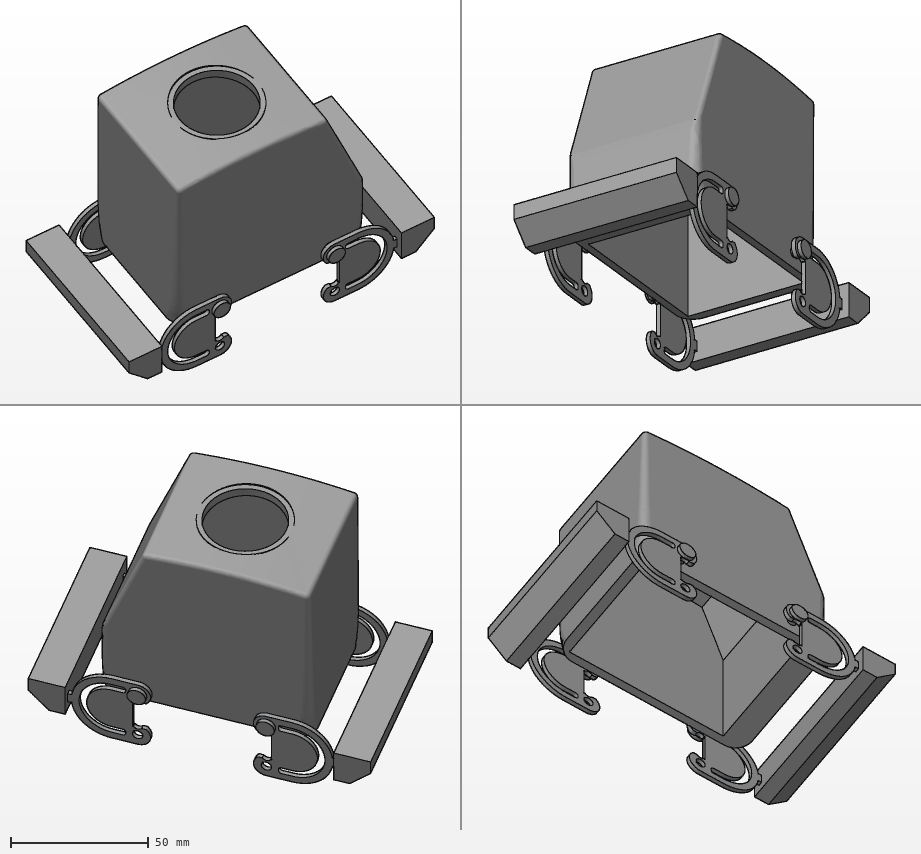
import cadquery as cq
import math

HOOD_WIDTH = 56.2
HOOD_HEIGHT = 77.0
BASE_LENGTH = 81.9
FRONT_DRAFT = 0.9
BACK_DRAFT = 1.0
WALL = 3.2
ROOF = 4.1
CAVITY_BACK_Y = 30.9
CAVITY_KNEE_Z = 46.0
RIM_ZONE_Z = 73.7
SLOPE_START_Z = 31.6
SLOPE_END_Y = 24.2
CROWN_RADIUS = 263.2
EDGE_RADIUS = 1.7
BEVEL_REACH = 1.6
CORNER_RADII = [(0, 7.4), (0.14, 4.1), (0.4, 2.9), (1, 1.8)]

ENTRY_Y = -5.8
ENTRY_RADIUS = 15.8
SPOTFACE_RADIUS = 17.9
SPOTFACE_DEPTH = 0.59

PIVOT_Y = 24.7
LEVER_MID_Z = -4.3
LEVER_RADIUS = 15.5
LEVER_CENTER_Y = 34.7
LEVER_THICKNESS = 1.7
LEVER_INNER_X = 30.4
THROAT_Y = 26.7
HOOK_RADIUS = 5.0
HOOK_TIP_RISE = 3.8
HOOK_TIP_RADIUS = 0.7
HOLE_RADIUS = 2.0
SLOT_OUTER_RADIUS = 12.5
SLOT_INNER_RADIUS = 9.6
SLOT_END_Y = 29.3
SLOT_END_RADIUS = 1.2

STEM_RADIUS = 1.8
HEAD_RADIUS = 3.5
HEAD_THICKNESS = 1.6

GRIP_WIDTH = 70.0
OVERALL_LENGTH = 131.6
GRIP_DEPTH = 14.2
GRIP_TOP_Z = 3.8
GRIP_HEIGHT = 14.1
GRIP_CHAMFER = 8.0
LUG_HEIGHT = 4.2

OVERSIZE = 263.2


def wall_back_y(z):
    """Y of the drafted +Y face at a given height."""
    return BASE_LENGTH / 2 - BACK_DRAFT * z / HOOD_HEIGHT


def rounded_section(z, radius):
    """Horizontal section of the drafted block at height z."""
    share = z / HOOD_HEIGHT
    front = -BASE_LENGTH / 2 + FRONT_DRAFT * share
    back = wall_back_y(z)
    sketch = cq.Sketch().rect(HOOD_WIDTH, back - front).vertices().fillet(radius)
    return sketch.moved(cq.Location(cq.Vector(0, (front + back) / 2, z)))


def drafted_block():
    """Leaning block whose vertical corners get rounder towards the bottom."""
    sections = [rounded_section(share * HOOD_HEIGHT, radius) for share, radius in CORNER_RADII]
    return cq.Workplane("XY").placeSketch(*sections).loft()


def crown_z(y):
    """Height of the arched top at a given Y."""
    drop = CROWN_RADIUS - math.sqrt(CROWN_RADIUS ** 2 - (y - ENTRY_Y) ** 2)
    return HOOD_HEIGHT - drop


def roof_prism():
    """Everything under the arched top and the slope, with a small bevel at the foot of the slope."""
    far = BASE_LENGTH
    bend_y = wall_back_y(SLOPE_START_Z)
    ridge_z = crown_z(SLOPE_END_Y)
    slope_lean = math.atan((bend_y - SLOPE_END_Y) / (ridge_z - SLOPE_START_Z))
    bevel_bottom_z = SLOPE_START_Z - BEVEL_REACH
    bevel_top_y = bend_y - BEVEL_REACH * math.sin(slope_lean)
    bevel_top_z = SLOPE_START_Z + BEVEL_REACH * math.cos(slope_lean)
    return (
        cq.Workplane("YZ")
        .moveTo(-far, 0)
        .lineTo(far, 0)
        .lineTo(wall_back_y(bevel_bottom_z), bevel_bottom_z)
        .lineTo(bevel_top_y, bevel_top_z)
        .lineTo(SLOPE_END_Y, ridge_z)
        .threePointArc((ENTRY_Y, HOOD_HEIGHT), (-far, crown_z(-far)))
        .close()
        .extrude(OVERSIZE / 2, both=True)
    )


def outer_hood():
    """Closed hood with the rims of its top and slope rounded."""
    reach = HOOD_WIDTH
    box = cq.selectors.BoxSelector
    top_rim = box((-reach, -reach, RIM_ZONE_Z), (reach, reach, OVERSIZE))
    slope_rim = box((-reach, SLOPE_END_Y, SLOPE_START_Z - 2 * BEVEL_REACH), (reach, reach, OVERSIZE))
    bevel_lines = box(
        (-BEVEL_REACH, SLOPE_END_Y + BEVEL_REACH, 0),
        (BEVEL_REACH, reach, SLOPE_START_Z + 2 * BEVEL_REACH),
    )
    hood_block = drafted_block().intersect(roof_prism())
    return hood_block.edges(top_rim + slope_rim - bevel_lines).fillet(EDGE_RADIUS)


def cavity():
    """Hollow of the hood, open at the bottom, with a ceiling that follows the top."""
    front_y = -BASE_LENGTH / 2 + FRONT_DRAFT + WALL
    slope_run = (wall_back_y(SLOPE_START_Z) - SLOPE_END_Y) / (crown_z(SLOPE_END_Y) - SLOPE_START_Z)
    ceiling_back_z = crown_z(SLOPE_END_Y) - ROOF
    ceiling_back_y = CAVITY_BACK_Y - slope_run * (ceiling_back_z - CAVITY_KNEE_Z)
    return (
        cq.Workplane("YZ")
        .moveTo(front_y, 0)
        .lineTo(CAVITY_BACK_Y, 0)
        .lineTo(CAVITY_BACK_Y, CAVITY_KNEE_Z)
        .lineTo(ceiling_back_y, ceiling_back_z)
        .threePointArc((ENTRY_Y, HOOD_HEIGHT - ROOF), (front_y, crown_z(front_y) - ROOF))
        .close()
        .extrude(HOOD_WIDTH / 2 - WALL, both=True)
    )


def entry_disc(radius, bottom_z):
    return cq.Workplane("XY", origin=(0, ENTRY_Y, bottom_z)).circle(radius).extrude(HOOD_HEIGHT)


def hood():
    spotface = entry_disc(SPOTFACE_RADIUS, HOOD_HEIGHT - SPOTFACE_DEPTH)
    entry = entry_disc(ENTRY_RADIUS, HOOD_HEIGHT / 2)
    return outer_hood().cut(cavity()).cut(spotface).cut(entry)


def lever_plane(x):
    """Plane parallel to the lever, at a given X."""
    return cq.Workplane("YZ", origin=(x, 0, 0))


def lever_box(y_min, y_max, z_min, z_max):
    """Block through the lever thickness, on the +X side."""
    return (
        lever_plane(LEVER_INNER_X)
        .center((y_min + y_max) / 2, (z_min + z_max) / 2)
        .rect(y_max - y_min, z_max - z_min)
        .extrude(LEVER_THICKNESS)
    )


def lever_disc(y, z, radius):
    """Disc as thick as the lever, on the +X side."""
    return lever_plane(LEVER_INNER_X).center(y, z).circle(radius).extrude(LEVER_THICKNESS)


def round_back_plate(radius, straight_end_y):
    """Plate with a half-round outer end and straight flanks running towards the hood centre."""
    return (
        lever_plane(LEVER_INNER_X)
        .moveTo(straight_end_y, LEVER_MID_Z - radius)
        .lineTo(LEVER_CENTER_Y, LEVER_MID_Z - radius)
        .threePointArc(
            (LEVER_CENTER_Y + radius, LEVER_MID_Z), (LEVER_CENTER_Y, LEVER_MID_Z + radius)
        )
        .lineTo(straight_end_y, LEVER_MID_Z + radius)
        .close()
        .extrude(LEVER_THICKNESS)
    )


def lever():
    """Lever on the +X side of the +Y end, with a hook at both ends."""
    hook_z = LEVER_RADIUS - HOOK_RADIUS
    tip_z = hook_z - HOOK_TIP_RISE
    plate = round_back_plate(LEVER_RADIUS, PIVOT_Y)
    hook_y = PIVOT_Y - HOOK_RADIUS
    for side in (-1, 1):
        plate = plate.union(lever_disc(PIVOT_Y, LEVER_MID_Z + side * hook_z, HOOK_RADIUS))
    throat = lever_box(hook_y, THROAT_Y, LEVER_MID_Z - tip_z, LEVER_MID_Z + tip_z)
    plate = plate.cut(throat)
    tips = cq.selectors.BoxSelector(
        (0, hook_y, LEVER_MID_Z - tip_z - HOOK_TIP_RADIUS),
        (OVERSIZE, PIVOT_Y - HOLE_RADIUS, LEVER_MID_Z + tip_z + HOOK_TIP_RADIUS),
    )
    plate = plate.edges("|X").edges(tips).fillet(HOOK_TIP_RADIUS)
    slot_ring = round_back_plate(SLOT_OUTER_RADIUS, SLOT_END_Y)
    slot_ring = slot_ring.cut(round_back_plate(SLOT_INNER_RADIUS, SLOT_END_Y))
    slot_ring = slot_ring.edges("|X and <Y").fillet(SLOT_END_RADIUS)
    plate = plate.cut(slot_ring)
    for side in (-1, 1):
        notch_z = LEVER_MID_Z + side * (hook_z - HOOK_RADIUS)
        plate = plate.cut(lever_disc(PIVOT_Y, notch_z, HOLE_RADIUS))
    return plate.cut(lever_disc(PIVOT_Y, LEVER_MID_Z - hook_z, HOLE_RADIUS))


def pivot_pin():
    pivot_z = LEVER_MID_Z + LEVER_RADIUS - HOOK_RADIUS
    stem_start = HOOD_WIDTH / 2 - WALL / 2
    lever_outer_x = LEVER_INNER_X + LEVER_THICKNESS
    stem = lever_plane(stem_start).center(PIVOT_Y, pivot_z)
    stem = stem.circle(STEM_RADIUS).extrude(lever_outer_x - stem_start)
    head = lever_plane(lever_outer_x).center(PIVOT_Y, pivot_z)
    return stem.union(head.circle(HEAD_RADIUS).extrude(HEAD_THICKNESS))


def lug():
    """Short web joining the lever to the grip bar."""
    half_height = LUG_HEIGHT / 2
    rim_radius = (SLOT_OUTER_RADIUS + LEVER_RADIUS) / 2
    return lever_box(
        LEVER_CENTER_Y + rim_radius,
        OVERALL_LENGTH / 2 - GRIP_DEPTH,
        LEVER_MID_Z - half_height,
        LEVER_MID_Z + half_height,
    )


def grip_bar():
    outer_y = OVERALL_LENGTH / 2
    inner_y = outer_y - GRIP_DEPTH
    bottom_z = GRIP_TOP_Z - GRIP_HEIGHT
    return (
        cq.Workplane("YZ")
        .moveTo(inner_y, GRIP_TOP_Z)
        .lineTo(outer_y, GRIP_TOP_Z)
        .lineTo(outer_y, bottom_z + GRIP_CHAMFER)
        .lineTo(outer_y - GRIP_CHAMFER, bottom_z)
        .lineTo(inner_y, bottom_z)
        .close()
        .extrude(GRIP_WIDTH / 2, both=True)
    )


def locking_bracket():
    """Grip bar with its two levers and pivot pins, at the +Y end."""
    arm = lever().union(pivot_pin()).union(lug())
    return grip_bar().union(arm).union(arm.mirror("YZ"))


bracket = locking_bracket()
result = hood().union(bracket).union(bracket.mirror("XZ"))